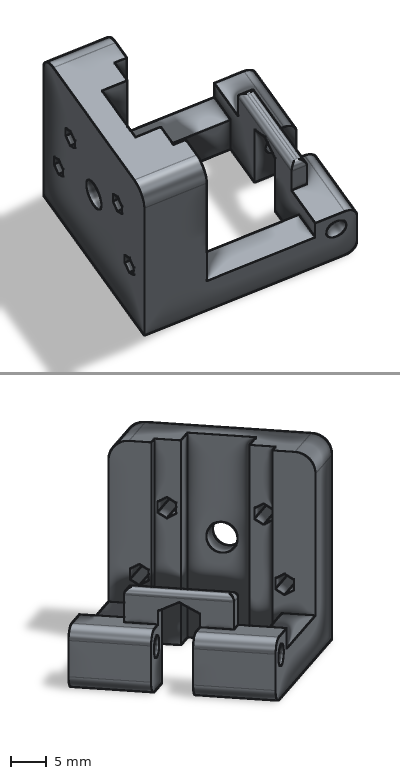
import cadquery as cq
import math

width = 30.0
length = 34.0
height = 30.0
front_y = -length / 2
back_y = length / 2

wall_thickness = 10.0
wall_corner_radius = 3.0
wall_back_y = front_y + wall_thickness
wide_pocket_width = 17.5
wide_pocket_depth = 1.97
narrow_pocket_width = 9.93
narrow_pocket_depth = 6.02

center_hole_diameter = 4.5
center_hole_z = height / 2
hex_hole_diameter = 3.1
upper_hex_x = 7.0
upper_hex_z = 20.0
lower_hex_x = 10.5
lower_hex_z = 10.5

rail_inner_x = 10.13
rail_height = 6.25
bar_front_y = 10.3
bar_height = 9.25
bar_corner_radius = 1.97
pin_diameter = 3.2
pin_y = 13.67
pin_z = rail_height

lip_width = 15.9
lip_thickness = 2.45
lip_top_z = 14.25
lip_edge_radius = 1.0
notch_width = 6.05
notch_eave_z = 11.22
notch_apex_z = 12.68


def block(x_size, y_start, y_end, z_start, z_end):
    """Box centred on X, spanning the given Y and Z ranges."""
    return cq.Workplane("XY").box(
        x_size, y_end - y_start, z_end - z_start, centered=(True, False, False)
    ).translate((0, y_start, z_start))


def make_frame():
    """Side profile with wall, rails and bar, opened between the rails."""
    profile = (
        cq.Workplane("YZ")
        .moveTo(front_y, 0)
        .lineTo(back_y, 0)
        .lineTo(back_y, bar_height)
        .lineTo(bar_front_y, bar_height)
        .lineTo(bar_front_y, rail_height)
        .lineTo(wall_back_y, rail_height)
        .lineTo(wall_back_y, height)
        .lineTo(front_y, height)
        .close()
    )
    frame = profile.extrude(width / 2, both=True)
    frame = frame.edges("|X and >Y").fillet(bar_corner_radius)
    frame = frame.edges("|Y and >Z").fillet(wall_corner_radius)
    return frame.cut(block(2 * rail_inner_x, wall_back_y, bar_front_y, 0, height))


def make_lip():
    """Upright plate with its top edges rounded."""
    lip = block(lip_width, bar_front_y, bar_front_y + lip_thickness, rail_height, lip_top_z)
    return lip.faces(">Z").edges().fillet(lip_edge_radius)


def make_notch():
    """Gabled opening running along Y through the bar and lip."""
    return (
        cq.Workplane("XZ", origin=(0, bar_front_y, 0))
        .moveTo(-notch_width / 2, 0)
        .lineTo(notch_width / 2, 0)
        .lineTo(notch_width / 2, notch_eave_z)
        .lineTo(0, notch_apex_z)
        .lineTo(-notch_width / 2, notch_eave_z)
        .close()
        .extrude(bar_front_y - back_y)
    )


def make_wall_pockets():
    """Stepped recess running the full height of the wall's back face."""
    wide = block(wide_pocket_width, wall_back_y - wide_pocket_depth, wall_back_y, 0, height)
    narrow = block(narrow_pocket_width, wall_back_y - narrow_pocket_depth, wall_back_y, 0, height)
    return wide.union(narrow)


def hex_hole(x, z):
    """Hexagonal hole through the wall with corners at top and bottom."""
    radius = hex_hole_diameter / 2
    corner_angles = [math.radians(30 + 60 * i) for i in range(6)]
    corners = [(x + radius * math.cos(a), z + radius * math.sin(a)) for a in corner_angles]
    return (
        cq.Workplane("XZ", origin=(0, front_y, 0))
        .polyline(corners)
        .close()
        .extrude(-wall_thickness)
    )


center_hole = (
    cq.Workplane("XZ", origin=(0, front_y, 0))
    .center(0, center_hole_z)
    .circle(center_hole_diameter / 2)
    .extrude(-wall_thickness)
)
pin_hole = (
    cq.Workplane("YZ")
    .center(pin_y, pin_z)
    .circle(pin_diameter / 2)
    .extrude(width / 2, both=True)
)

result = make_frame().union(make_lip())
result = result.cut(make_notch()).cut(make_wall_pockets())
result = result.cut(center_hole).cut(pin_hole)
for side in (-1, 1):
    result = result.cut(hex_hole(side * upper_hex_x, upper_hex_z))
    result = result.cut(hex_hole(side * lower_hex_x, lower_hex_z))